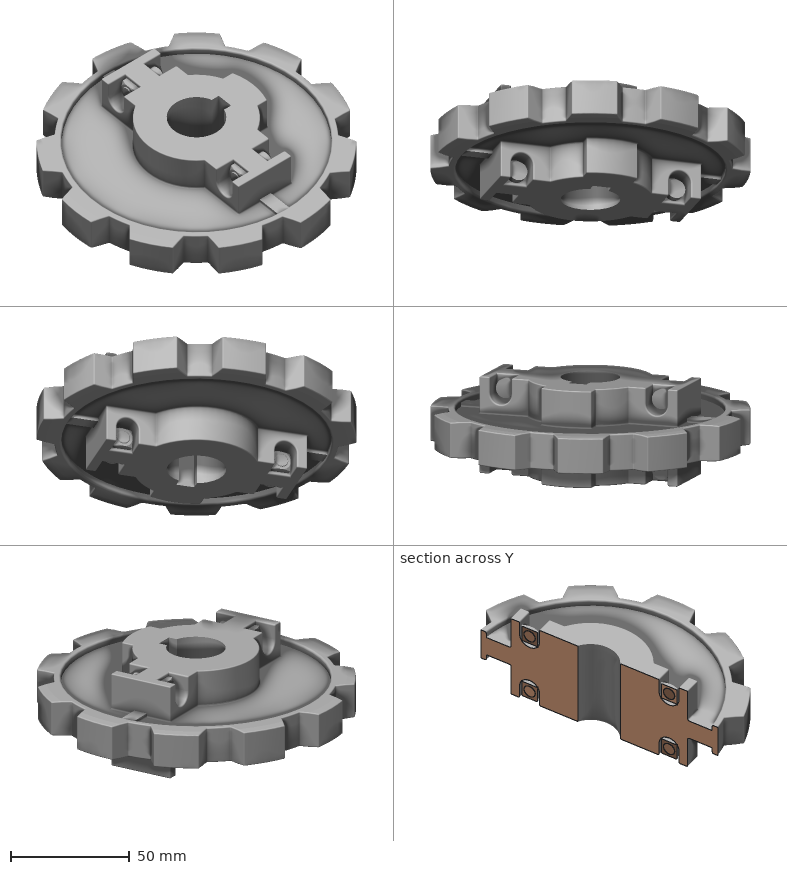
import cadquery as cq
import math

tip_radius = 67.3
root_radius = 59.8
tooth_count = 11
tooth_tip_half_width = 9.5
flank_angle = 180 / tooth_count
half_rim_height = 7.8
half_hub_height = 20.7

edge_radius = 0.5
hub_edge_radius = 0.5
floor_radius = 0.7
mouth_radius = 0.7
rim_radius = 1.0

taper_start_radius = 63.5
taper_drop = 0.3

recess_radius = 56.8
recess_depth = 3.0
half_web_height = half_rim_height - recess_depth
bar_half_width = 3.1
bar_height = 1.6

hub_radius = 26.8
boss_radius = 31.6
boss_half_width = 11.2
lug_half_length = 44.3
lug_half_width = 14.7
bore_radius = 12.5
keyway_width = 8.0
keyway_top = 15.8

screw_x = 34.9
screw_z = 15.1
pocket_half_width = 4.8
pocket_floor_center_z = 14.0
pocket_wall_y = 5.3
screw_radius = 3.0
screw_end_chamfer = 0.3
screw_end_y = 8.6
head_radius = 4.2
head_length = 3.5
nut_width = 8.1
nut_thickness = 3.0
nut_chamfer_radius = 4.1
nut_chamfer_angle = 30.0

tolerance = 0.001
box_reach = 2 * tip_radius

screw_positions = [(x, z) for x in (-screw_x, screw_x) for z in (-screw_z, screw_z)]
screw_sites = [(x, side) for x in (-screw_x, screw_x) for side in (-1, 1)]


def block(x_min, x_max, y_min, y_max, z_min, z_max):
    size = (x_max - x_min, y_max - y_min, z_max - z_min)
    return cq.Workplane("XY").box(*size, centered=False).translate((x_min, y_min, z_min))


def disc(radius, z_min, z_max):
    return cq.Workplane("XY").workplane(offset=z_min).circle(radius).extrude(z_max - z_min)


def rod(radius, x, z, y_start, y_end):
    """Cylinder along Y."""
    return cq.Workplane("XZ", origin=(x, y_start, z)).circle(radius).extrude(y_start - y_end)


def is_arc(edge, radius):
    return edge.geomType() == "CIRCLE" and abs(edge.radius() - radius) < tolerance


def tooth_ring():
    """Upper half of the toothed disc, with tapered tips and rounded outer edges."""
    tip_y = math.sqrt(tip_radius**2 - tooth_tip_half_width**2)
    flank_slope = math.tan(math.radians(flank_angle))
    tooth_base_half_width = tooth_tip_half_width + (tip_y - recess_radius) * flank_slope
    tooth = (
        cq.Workplane("XY")
        .moveTo(-tooth_base_half_width, -recess_radius)
        .lineTo(-tooth_tip_half_width, -tip_y)
        .threePointArc((0, -tip_radius), (tooth_tip_half_width, -tip_y))
        .lineTo(tooth_base_half_width, -recess_radius)
        .close()
        .extrude(half_rim_height)
    )
    ring = disc(root_radius, 0, half_rim_height)
    for index in range(tooth_count):
        ring = ring.union(tooth.rotate((0, 0, 0), (0, 0, 1), index * 360 / tooth_count))
    ring = ring.edges("|Z").fillet(edge_radius)
    taper_envelope = (
        cq.Workplane("XZ")
        .moveTo(0, 0)
        .lineTo(tip_radius, 0)
        .lineTo(tip_radius, half_rim_height - taper_drop)
        .lineTo(taper_start_radius, half_rim_height)
        .lineTo(0, half_rim_height)
        .close()
        .revolve(360, (0, 0, 0), (0, 1, 0))
    )
    ring = ring.intersect(taper_envelope)
    upper_box = cq.selectors.BoxSelector(
        (-box_reach, -box_reach, half_rim_height / 2), (box_reach, box_reach, half_hub_height)
    )
    outline_edges = (
        ring.edges("not |Z")
        .edges(upper_box)
        .filter(lambda edge: not is_arc(edge, taper_start_radius))
    )
    return outline_edges.fillet(edge_radius)


def pocket(x, side):
    """Round-bottomed pocket, open at the top and at the side face of a lug."""
    slot = (
        cq.Workplane("XZ", origin=(x, pocket_wall_y, 0))
        .moveTo(-pocket_half_width, half_hub_height)
        .lineTo(-pocket_half_width, pocket_floor_center_z)
        .threePointArc(
            (0, pocket_floor_center_z - pocket_half_width),
            (pocket_half_width, pocket_floor_center_z),
        )
        .lineTo(pocket_half_width, half_hub_height)
        .close()
        .extrude(pocket_wall_y - lug_half_width)
    )
    return slot if side > 0 else slot.mirror("XZ")


def is_beside_pocket(edge, margin):
    """True for an edge whose middle lies in a pocket or within the margin around it."""
    middle = edge.Center()
    return (
        abs(abs(middle.x) - screw_x) < pocket_half_width + margin + tolerance
        and abs(middle.y) > pocket_wall_y - margin - tolerance
    )


def is_pocket_mouth(edge):
    """True for the pocket edges in the top face and in the side faces of the lugs."""
    middle = edge.Center()
    in_top_face = abs(middle.z - half_hub_height) < tolerance
    in_side_face = abs(abs(middle.y) - lug_half_width) < tolerance and middle.z > tolerance
    return is_beside_pocket(edge, 0) and (in_top_face or in_side_face)


def half_hub():
    """Upper half of the hub: cylinder, lugs and boss with pockets and rounded edges."""
    lugs = block(-lug_half_length, lug_half_length, -lug_half_width, lug_half_width, 0, half_hub_height)
    boss = disc(boss_radius, 0, half_hub_height).intersect(
        block(-boss_half_width, boss_half_width, 0, boss_radius, 0, half_hub_height)
    )
    hub = disc(hub_radius, 0, half_hub_height).union(lugs).union(boss)
    hub = hub.edges("|Z").fillet(hub_edge_radius)
    for x, side in screw_sites:
        hub = hub.cut(pocket(x, side))
    hub = hub.edges().filter(is_pocket_mouth).fillet(mouth_radius)
    outline_edges = hub.edges(">Z").filter(lambda edge: not is_beside_pocket(edge, mouth_radius))
    return outline_edges.fillet(hub_edge_radius)


def half_wheel():
    """Upper half of the wheel, still without the openings that run through it."""
    wheel = tooth_ring().cut(disc(recess_radius, half_web_height, half_rim_height))
    rim_edge = wheel.edges(">Z").filter(lambda edge: is_arc(edge, recess_radius))
    wheel = rim_edge.fillet(rim_radius)
    bar = disc(recess_radius, half_web_height, half_web_height + bar_height).intersect(
        block(-tip_radius, tip_radius, -bar_half_width, bar_half_width, 0, half_rim_height)
    )
    wheel = wheel.union(bar).union(half_hub())
    floor_edges = [
        edge for edge in wheel.edges("#Z").vals() if abs(edge.Center().z - half_web_height) < tolerance
    ]
    return wheel.newObject(floor_edges).fillet(floor_radius)


def wheel_body():
    """Whole wheel: two mirrored halves with the bore, the keyway and the screw holes."""
    upper = half_wheel()
    whole = upper.union(upper.mirror("XY"))
    bore = disc(bore_radius, -half_hub_height, half_hub_height)
    keyway = block(
        -keyway_width / 2, keyway_width / 2, 0, keyway_top, -half_hub_height, half_hub_height
    )
    whole = whole.cut(bore).cut(keyway)
    for x, z in screw_positions:
        whole = whole.cut(rod(screw_radius, x, z, -pocket_wall_y, pocket_wall_y))
    return whole


def screw_body(x, z):
    """Screw with its head against the +Y pocket wall and its end out of the nut."""
    shank = rod(screw_radius, x, z, -screw_end_y, pocket_wall_y)
    head = rod(head_radius, x, z, pocket_wall_y, pocket_wall_y + head_length)
    return shank.union(head).faces("<Y").chamfer(screw_end_chamfer)


def nut_body(x, z):
    """Square nut against the -Y pocket wall, its outer corners turned to a cone."""
    front_y = -pocket_wall_y - nut_thickness
    half_width = nut_width / 2
    square = block(-half_width, half_width, front_y, -pocket_wall_y, -half_width, half_width)
    cone_length = (nut_width - nut_chamfer_radius) * math.tan(math.radians(nut_chamfer_angle))
    cone = (
        cq.Workplane("XY")
        .moveTo(0, front_y)
        .lineTo(nut_chamfer_radius, front_y)
        .lineTo(nut_width, front_y + cone_length)
        .lineTo(nut_width, -pocket_wall_y)
        .lineTo(0, -pocket_wall_y)
        .close()
        .revolve(360, (0, 0, 0), (0, 1, 0))
    )
    nut = square.intersect(cone).translate((x, 0, z))
    return nut.cut(rod(screw_radius, x, z, front_y, -pocket_wall_y))


wheel = wheel_body()
screws = [screw_body(x, z) for x, z in screw_positions]
nuts = [nut_body(x, z) for x, z in screw_positions]

result = cq.Compound.makeCompound(
    [wheel.val(), *[screw.val() for screw in screws], *[nut.val() for nut in nuts]]
)